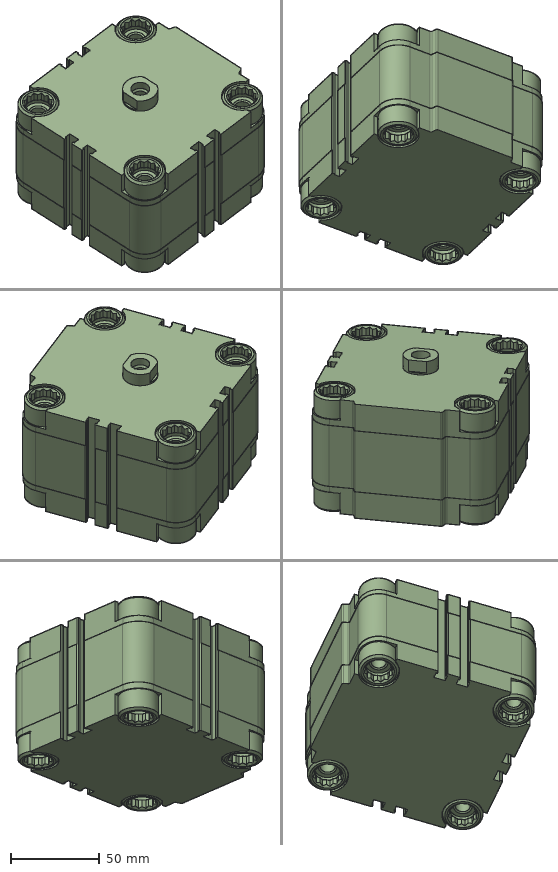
import cadquery as cq
import math

HALF_SIDE = 53.5
END_INSET = 0.2
END_HEIGHT = 16.5
BARREL_HEIGHT = 38.0
HOUSING_HEIGHT = 2 * END_HEIGHT + BARREL_HEIGHT

PAD_FACE = 57.5
PAD_TOP_HALF = 25.6
PAD_BASE_HALF = 27.0
PAD_FILLET = 1.0

SCREW_OFFSET = 41.0
HEAD_RADIUS = 23.0 / 2
HEAD_CHAMFER = 1.3
POCKET_RADIUS = 11.8
POCKET_INNER_SIDE = 34.6
POCKET_DEPTH = 12.8

SOCKET_MOUTH_RADIUS = 8.9
SOCKET_TIPS = 12
SOCKET_TIP_RADIUS = 16.5 / 2
SOCKET_ROOT_RADIUS = SOCKET_TIP_RADIUS * math.cos(math.pi / 6) / math.cos(math.pi / 12)
SOCKET_SPLINE_DEPTH = 5.8
SOCKET_RELIEF_RADIUS = 15.4 / 2
SOCKET_DEPTH = 8.0
BORE_RADIUS = 8.5 / 2
BORE_MOUTH_RADIUS = 10.5 / 2
BORE_CHAMFER_DEPTH = (BORE_MOUTH_RADIUS - BORE_RADIUS) * math.tan(math.pi / 6)

SLOT_OFFSET = 6.8
SLOT_WIDTH = 6.8
SLOT_MOUTH_WIDTH = 5.2
SLOT_LIP = 2.0
SLOT_FLOOR = 48.1
MOUTH_CHAMFER = 0.7

ROD_RADIUS = 20 / 2
ROD_PROTRUSION = 8.0
ROD_TOP = HOUSING_HEIGHT + ROD_PROTRUSION
ROD_BOTTOM = HOUSING_HEIGHT - END_HEIGHT
ROD_FLATS = 17.0
ROD_FLAT_LENGTH = 7.0
ROD_COUNTERBORE_RADIUS = 10.5 / 2
ROD_COUNTERBORE_DEPTH = 4.7
ROD_BORE_RADIUS = 8.3 / 2
ROD_BORE_DEPTH = 20.0
DRILL_POINT_ANGLE = 118

SCREW_AXES = [(x, y) for x in (-SCREW_OFFSET, SCREW_OFFSET) for y in (-SCREW_OFFSET, SCREW_OFFSET)]


def rounded_block(inset, height):
    """Block with rounded corners and the tapered pad on +Y, set back all round by the inset."""
    half_side = HALF_SIDE - inset
    pad_face = PAD_FACE - inset
    pad_top_half = PAD_TOP_HALF - inset
    pad_base_half = PAD_BASE_HALF - inset
    block = (
        cq.Workplane("XY")
        .rect(2 * half_side, 2 * half_side)
        .extrude(height)
        .edges("|Z")
        .fillet(half_side - SCREW_OFFSET)
    )
    pad = (
        cq.Workplane("XY")
        .moveTo(-pad_base_half, 0)
        .lineTo(-pad_base_half, half_side)
        .lineTo(-pad_top_half, pad_face)
        .lineTo(pad_top_half, pad_face)
        .lineTo(pad_base_half, half_side)
        .lineTo(pad_base_half, 0)
        .close()
        .extrude(height)
    )
    pad_corners = cq.selectors.BoxSelector(
        (-pad_base_half - PAD_FILLET, half_side - PAD_FILLET, 0),
        (pad_base_half + PAD_FILLET, pad_face + PAD_FILLET, height),
    )
    return block.union(pad).edges("|Z").edges(pad_corners).fillet(PAD_FILLET)


def slot_pair():
    """Cutter for the two undercut slots of the +X side, over the full height of the housing."""
    half_slot = SLOT_WIDTH / 2
    half_mouth = SLOT_MOUTH_WIDTH / 2
    lip = HALF_SIDE - SLOT_LIP
    half_outline = [
        (SLOT_FLOOR, half_slot),
        (lip, half_slot),
        (lip, half_mouth),
        (HALF_SIDE - MOUTH_CHAMFER, half_mouth),
        (HALF_SIDE, half_mouth + MOUTH_CHAMFER),
    ]
    outline = half_outline + [(x, -y) for x, y in reversed(half_outline)]
    slot = cq.Workplane("XY").polyline(outline).close().extrude(HOUSING_HEIGHT)
    return slot.translate((0, SLOT_OFFSET, 0)).union(slot.translate((0, -SLOT_OFFSET, 0)))


def corner_pockets():
    """Cutter for the clearance around the four screw heads, open at the top of the end block."""
    pocket_floor = END_HEIGHT - POCKET_DEPTH
    round_part = (
        cq.Workplane("XY", origin=(0, 0, pocket_floor))
        .pushPoints(SCREW_AXES)
        .circle(POCKET_RADIUS)
        .extrude(POCKET_DEPTH)
    )
    pocket_side = PAD_FACE - POCKET_INNER_SIDE
    pocket_centre = POCKET_INNER_SIDE + pocket_side / 2
    square_part = (
        cq.Workplane("XY", origin=(0, 0, pocket_floor))
        .rect(2 * pocket_centre, 2 * pocket_centre, forConstruction=True)
        .vertices()
        .rect(pocket_side, pocket_side)
        .extrude(POCKET_DEPTH)
    )
    return square_part.union(round_part)


def socket_cutter():
    """Cutter for one socket, centred on the Z axis with its mouth at the top of the end block."""
    mouth_depth = SOCKET_MOUTH_RADIUS - SOCKET_ROOT_RADIUS
    floor = END_HEIGHT - SOCKET_DEPTH
    spline_end = END_HEIGHT - SOCKET_SPLINE_DEPTH
    star = []
    for corner in range(2 * SOCKET_TIPS):
        radius = SOCKET_ROOT_RADIUS if corner % 2 else SOCKET_TIP_RADIUS
        angle = math.pi * corner / SOCKET_TIPS
        star.append((radius * math.cos(angle), radius * math.sin(angle)))
    tip_mouth = END_HEIGHT - (SOCKET_MOUTH_RADIUS - SOCKET_TIP_RADIUS)
    spline = (
        cq.Workplane("XY", origin=(0, 0, spline_end))
        .polyline(star)
        .close()
        .extrude(tip_mouth - spline_end)
    )
    turned = (
        cq.Workplane("XZ")
        .moveTo(0, END_HEIGHT)
        .lineTo(SOCKET_MOUTH_RADIUS, END_HEIGHT)
        .lineTo(SOCKET_ROOT_RADIUS, END_HEIGHT - mouth_depth)
        .lineTo(SOCKET_ROOT_RADIUS, spline_end)
        .lineTo(SOCKET_RELIEF_RADIUS, spline_end)
        .lineTo(SOCKET_RELIEF_RADIUS, floor)
        .lineTo(BORE_MOUTH_RADIUS, floor)
        .lineTo(BORE_RADIUS, floor - BORE_CHAMFER_DEPTH)
        .lineTo(0, floor - BORE_CHAMFER_DEPTH)
        .close()
        .revolve(360, (0, 0, 0), (0, 1, 0))
    )
    return turned.union(spline)


def screw_head():
    """One chamfered screw head with its socket, centred on the Z axis and reaching the block's top."""
    head = cq.Workplane("XY").circle(HEAD_RADIUS).extrude(END_HEIGHT)
    return head.faces(">Z").chamfer(HEAD_CHAMFER).cut(socket_cutter())


def make_end_block():
    """End block with its four screw heads, joint face on Z = 0 and outer face up."""
    block = rounded_block(END_INSET, END_HEIGHT).cut(corner_pockets())
    head = screw_head()
    head_space = cq.Workplane("XY").pushPoints(SCREW_AXES).circle(HEAD_RADIUS).extrude(END_HEIGHT)
    block = block.cut(head_space)
    for x, y in SCREW_AXES:
        block = block.union(head.translate((x, y, 0)))
    return block


def rod_cylinder():
    """Plain cylinder of the rod, which also shapes its recess in the housing."""
    return cq.Workplane("XY", origin=(0, 0, ROD_BOTTOM)).circle(ROD_RADIUS).extrude(ROD_TOP - ROD_BOTTOM)


def make_housing():
    """Barrel with an end block at each end, slots, corner bores and the recess for the rod."""
    end_block = make_end_block()
    barrel = rounded_block(0, BARREL_HEIGHT).translate((0, 0, END_HEIGHT))
    housing = barrel.union(end_block.translate((0, 0, HOUSING_HEIGHT - END_HEIGHT)))
    housing = housing.union(end_block.mirror("XY").translate((0, 0, END_HEIGHT)))
    for turn in (-90, 0, 180):
        housing = housing.cut(slot_pair().rotate((0, 0, 0), (0, 0, 1), turn))
    bores = cq.Workplane("XY").pushPoints(SCREW_AXES).circle(BORE_RADIUS).extrude(HOUSING_HEIGHT)
    return housing.cut(bores).cut(rod_cylinder())


def make_rod():
    """Piston rod end with two flats and a stepped blind bore."""
    rod = rod_cylinder()
    flat_depth = ROD_RADIUS - ROD_FLATS / 2
    for side in (-1, 1):
        flat_centre = side * (ROD_FLATS + flat_depth) / 2
        flat = cq.Workplane("XY", origin=(0, flat_centre, ROD_TOP - ROD_FLAT_LENGTH))
        rod = rod.cut(flat.rect(2 * ROD_RADIUS, flat_depth).extrude(ROD_FLAT_LENGTH))
    step_end = ROD_TOP - ROD_COUNTERBORE_DEPTH
    bore_start = step_end - (ROD_COUNTERBORE_RADIUS - ROD_BORE_RADIUS)
    bore_end = ROD_TOP - ROD_BORE_DEPTH
    point_length = ROD_BORE_RADIUS / math.tan(math.radians(DRILL_POINT_ANGLE / 2))
    bore = (
        cq.Workplane("XZ")
        .moveTo(0, ROD_TOP)
        .lineTo(ROD_COUNTERBORE_RADIUS, ROD_TOP)
        .lineTo(ROD_COUNTERBORE_RADIUS, step_end)
        .lineTo(ROD_BORE_RADIUS, bore_start)
        .lineTo(ROD_BORE_RADIUS, bore_end)
        .lineTo(0, bore_end - point_length)
        .close()
        .revolve(360, (0, 0, 0), (0, 1, 0))
    )
    return rod.cut(bore)


housing = make_housing()
rod = make_rod()

result = cq.Compound.makeCompound([housing.val(), rod.val()])